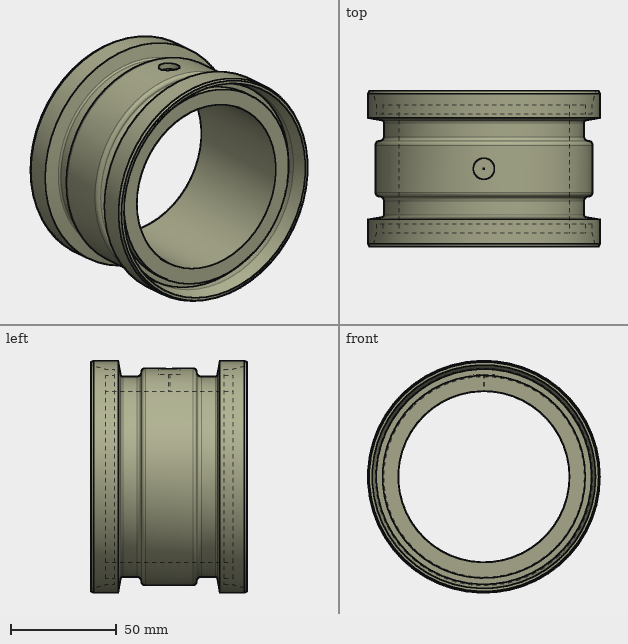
import cadquery as cq
import math

length = 74.0
flange_radius = 55.0
band_radius = 103.0 / 2
groove_radius = 95.0 / 2
bore_radius = 81.0 / 2
half_length = length / 2

rim_chamfer_radial = 0.7
rim_chamfer_axial = 1.4
flange_width = 13.0
flank_angle = math.radians(10)
flank_fillet = 1.0
band_half_width = 11.2
band_round = (band_radius - groove_radius) / 2

mouth_radius = 52.9
recess_radius = 102.0 / 2
sleeve_radius = 96.0 / 2
taper_depth = 7.3
recess_depth = 11.0
sleeve_setback = 6.7

port_diameter = 10.0
port_depth = 3.0
pinhole_diameter = 0.5


def make_end():
    """Solid end on the -Y side, outside the central band, from (radius, y) points."""
    end = -half_length
    flank_start = end + flange_width

    fillet_center_r = groove_radius + flank_fillet
    flank_tangent_r = fillet_center_r - flank_fillet * math.sin(flank_angle)
    flank_tangent_y = flank_start + (flange_radius - flank_tangent_r) * math.tan(flank_angle)
    fillet_center_y = flank_tangent_y + flank_fillet * math.cos(flank_angle)
    fillet_mid_angle = (math.pi / 2 + flank_angle) / 2
    fillet_mid = (
        fillet_center_r - flank_fillet * math.sin(fillet_mid_angle),
        fillet_center_y - flank_fillet * math.cos(fillet_mid_angle),
    )

    step_r = groove_radius + band_round
    step_y = -band_half_width - band_round
    diagonal = band_round * math.sqrt(0.5)
    concave_mid = (step_r - diagonal, step_y - band_round + diagonal)
    convex_mid = (step_r + diagonal, step_y + band_round - diagonal)

    profile = (
        cq.Workplane("XY")
        .moveTo(0, -band_half_width)
        .lineTo(0, end + sleeve_setback)
        .lineTo(sleeve_radius, end + sleeve_setback)
        .lineTo(sleeve_radius, end + recess_depth)
        .lineTo(recess_radius, end + recess_depth)
        .lineTo(recess_radius, end + taper_depth)
        .lineTo(mouth_radius, end)
        .lineTo(flange_radius - rim_chamfer_radial, end)
        .lineTo(flange_radius, end + rim_chamfer_axial)
        .lineTo(flange_radius, flank_start)
        .lineTo(flank_tangent_r, flank_tangent_y)
        .threePointArc(fillet_mid, (groove_radius, fillet_center_y))
        .lineTo(groove_radius, step_y - band_round)
        .threePointArc(concave_mid, (step_r, step_y))
        .threePointArc(convex_mid, (band_radius, -band_half_width))
        .close()
    )
    return profile.revolve(360, (0, 0, 0), (0, 1, 0))


def make_band():
    """Solid central band between the two ends."""
    return cq.Workplane("XZ").circle(band_radius).extrude(band_half_width, both=True)


def make_bore():
    """Cylinder removed along the whole axis."""
    return cq.Workplane("XZ").circle(bore_radius).extrude(half_length, both=True)


def make_port():
    """Flat-bottomed port with a pinhole continuing into the bore."""
    floor_height = band_radius - port_depth
    counterbore = (
        cq.Workplane("XY", origin=(0, 0, floor_height))
        .circle(port_diameter / 2)
        .extrude(flange_radius - floor_height)
    )
    pinhole = cq.Workplane("XY").circle(pinhole_diameter / 2).extrude(flange_radius)
    return counterbore.union(pinhole)


end_piece = make_end()
body = make_band().union(end_piece).union(end_piece.mirror("XZ"))
result = body.cut(make_bore()).cut(make_port())